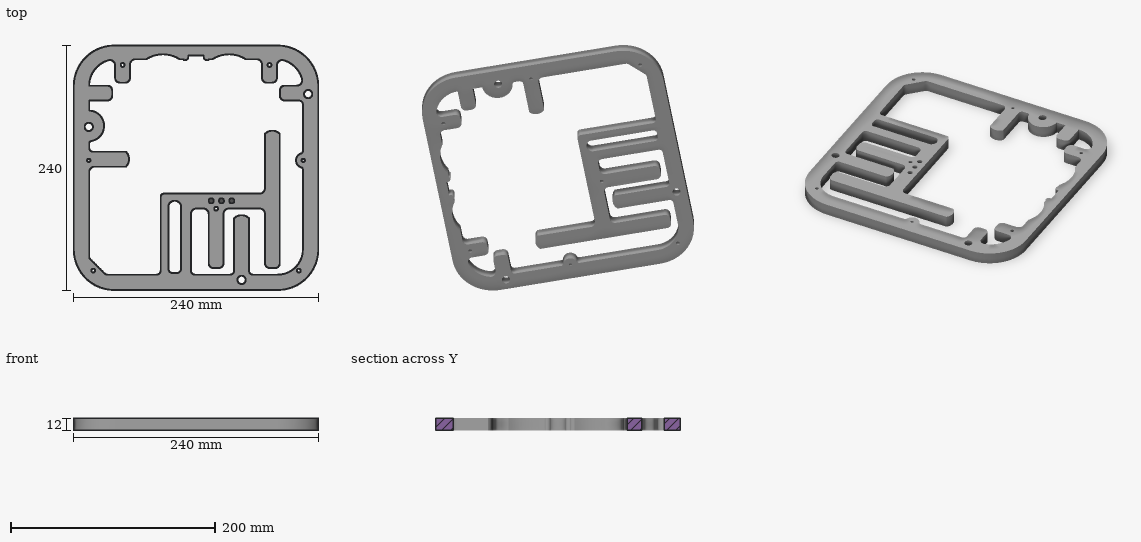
import cadquery as cq
import math

SIDE = 240.0
THICKNESS = 12.0
HALF = SIDE / 2
OUTER_RADIUS = 40.0

INNER_X = 104.6
INNER_TOP = 106.3
OPENING_TOP_RADIUS = 26.0
OPENING_BOTTOM_RADIUS = 24.5
CORNER_CUT = 16.0

BAR_WIDTH = 15.0
DOME_HEIGHT = 3.4
ROUND = 5.0
SMALL_ROUND = 3.5
OVERLAP = 7.2

TOP_TAB_X = 72.0
TOP_TAB_END = 83.3
SIDE_TAB_Y = 73.2
SIDE_TAB_END = 82.0
ARM_Y = 8.5
ARM_TIP = -65.5

COMB_LEFT = -34.8
COMB_TOP = -25.2
COMB_BOTTOM = COMB_TOP - BAR_WIDTH
SPINE_RIGHT = -4.8
FINGER_X = 19.7
RISER_X = 44.6
RISER_TIP = -46.3
POST_X = 75.0
POST_TOP = 36.5
FINGER_END = -98.5
SLOT_X = -21.0
SLOT_WIDTH = 12.0
SLOT_BOTTOM = -103.0
SLOT_TOP = -32.5
SLOT_DOME = 4.5

SCOOP_X = 32.5
SCOOP_HALF_WIDTH = 16.3
SCOOP_DEPTH = 4.8
NOTCH_HALF_WIDTH = 7.5
NOTCH_TOP = 110.0
LIP_WIDTH = 4.8
LIP_DROP = 1.0
LIP_ROUND = 3.4
LIP_HEEL_ROUND = 0.7

LUG_X = 105.0
LEFT_LUG_Y = 41.0
LEFT_LUG_RADIUS = 15.0
RIGHT_LUG_Y = 7.2
RIGHT_LUG_RADIUS = 7.2
LUG_BLEND = 2.2

SCREW_DIAMETER = 3.5
PIN_DIAMETER = 3.0
MOUNT_DIAMETER = 8.0
BLIND_DIAMETER = 5.0
BLIND_DEPTH = THICKNESS / 2
BLIND_PITCH = 10.0
BLIND_X = 25.0
BLIND_Y = -32.5
MOUNT_INSET = 10.0
LEFT_MOUNT_Y = 40.0
RIGHT_MOUNT_Y = 72.2
SCREW_CORNER = 100.8


def block(x_min, x_max, y_min, y_max):
    """Full-thickness rectangular block."""
    return (
        cq.Workplane("XY")
        .center((x_min + x_max) / 2, (y_min + y_max) / 2)
        .rect(x_max - x_min, y_max - y_min)
        .extrude(THICKNESS)
    )


def disc(x, y, radius):
    """Full-thickness round disc."""
    return cq.Workplane("XY").center(x, y).circle(radius).extrude(THICKNESS)


def domed_bar(root, tip, width, dome):
    """Bar along the line from root to tip, with an arched end at the tip."""
    length = math.dist(root, tip)
    heading = math.degrees(math.atan2(tip[1] - root[1], tip[0] - root[0]))
    return (
        cq.Workplane("XY")
        .moveTo(0, -width / 2)
        .lineTo(length - dome, -width / 2)
        .threePointArc((length, 0), (length - dome, width / 2))
        .lineTo(0, width / 2)
        .close()
        .extrude(THICKNESS)
        .rotate((0, 0, 0), (0, 0, 1), heading)
        .translate((root[0], root[1], 0))
    )


def round_edges(body, radius, points):
    """Round the upright edges that stand at the given plan points."""
    reach = 0.5
    for x, y in points:
        corner = cq.selectors.BoxSelector(
            (x - reach, y - reach, 0), (x + reach, y + reach, THICKNESS)
        )
        body = body.edges("|Z").edges(corner).fillet(radius)
    return body


def drill(body, diameter, points, depth=THICKNESS):
    """Drill holes from the top face."""
    cutter = (
        cq.Workplane("XY", origin=(0, 0, THICKNESS))
        .pushPoints(points)
        .circle(diameter / 2)
        .extrude(-depth)
    )
    return body.cut(cutter)


def make_frame():
    """Rounded square ring with one diagonal inner corner."""
    plate = block(-HALF, HALF, -HALF, HALF).edges("|Z").fillet(OUTER_RADIUS)
    opening = block(-INNER_X, INNER_X, -INNER_X, INNER_TOP)
    opening = opening.edges("|Z and >Y").fillet(OPENING_TOP_RADIUS)
    opening = round_edges(opening, OPENING_BOTTOM_RADIUS, [(INNER_X, -INNER_X)])
    opening = opening.edges("|Z and <X and <Y").chamfer(CORNER_CUT)
    opening = round_edges(
        opening,
        SMALL_ROUND,
        [(-INNER_X + CORNER_CUT, -INNER_X), (-INNER_X, -INNER_X + CORNER_CUT)],
    )
    return plate.cut(opening)


def shape_top_rim(body):
    """Two shallow scoops and a central notch with a rounded lip on each side."""
    lip_bottom = INNER_TOP - LIP_DROP
    lip_reach = NOTCH_HALF_WIDTH + LIP_WIDTH
    for side in (-1, 1):
        scoop = (
            cq.Workplane("XY")
            .moveTo(side * SCOOP_X - SCOOP_HALF_WIDTH, INNER_TOP)
            .threePointArc(
                (side * SCOOP_X, INNER_TOP + SCOOP_DEPTH),
                (side * SCOOP_X + SCOOP_HALF_WIDTH, INNER_TOP),
            )
            .close()
            .extrude(THICKNESS)
        )
        body = body.cut(scoop)
    lips = block(-lip_reach, lip_reach, lip_bottom, NOTCH_TOP)
    body = body.union(lips.edges("|Z and <Y").fillet(LIP_HEEL_ROUND))
    body = body.cut(block(-NOTCH_HALF_WIDTH, NOTCH_HALF_WIDTH, lip_bottom, NOTCH_TOP))
    notch_corners = [(side * NOTCH_HALF_WIDTH, lip_bottom) for side in (-1, 1)]
    return round_edges(body, LIP_ROUND, notch_corners)


def add_top_tabs(body):
    """Short tabs hanging from the top rim, one near each corner."""
    half = BAR_WIDTH / 2
    for side in (-1, 1):
        x = side * TOP_TAB_X
        tab = block(x - half, x + half, TOP_TAB_END, INNER_TOP + OVERLAP)
        body = body.union(tab.edges("|Z and <Y").fillet(ROUND))
        roots = [(x - half, INNER_TOP), (x + half, INNER_TOP)]
        body = round_edges(body, ROUND, roots)
    return body


def add_side_tabs(body):
    """Short tabs on the side rims; only the right one has rounded roots."""
    low = SIDE_TAB_Y - BAR_WIDTH / 2
    high = SIDE_TAB_Y + BAR_WIDTH / 2
    left = block(-INNER_X - OVERLAP, -SIDE_TAB_END, low, high).edges("|Z and >X").fillet(ROUND)
    right = block(SIDE_TAB_END, INNER_X + OVERLAP, low, high).edges("|Z and <X").fillet(ROUND)
    body = body.union(left).union(right)
    body = round_edges(body, SMALL_ROUND, [(INNER_X, low)])
    return round_edges(body, ROUND, [(INNER_X, high)])


def add_left_arm(body):
    """Long arm with an arched end on the left rim."""
    body = body.union(
        domed_bar((-INNER_X - OVERLAP, ARM_Y), (ARM_TIP, ARM_Y), BAR_WIDTH, DOME_HEIGHT)
    )
    body = round_edges(body, SMALL_ROUND, [(-INNER_X, ARM_Y + BAR_WIDTH / 2)])
    return round_edges(body, ROUND, [(-INNER_X, ARM_Y - BAR_WIDTH / 2)])


def add_lugs(body):
    """Large round lug on the left rim and a small one on the right rim."""
    inside_rim = block(-INNER_X - OVERLAP, INNER_X + OVERLAP, -INNER_X, INNER_TOP)
    left = disc(-LUG_X, LEFT_LUG_Y, LEFT_LUG_RADIUS)
    right = disc(LUG_X, RIGHT_LUG_Y, RIGHT_LUG_RADIUS)
    body = body.union(left.intersect(inside_rim)).union(right)
    roots = [
        (-INNER_X, LEFT_LUG_Y - LEFT_LUG_RADIUS),
        (INNER_X, RIGHT_LUG_Y - RIGHT_LUG_RADIUS),
        (INNER_X, RIGHT_LUG_Y + RIGHT_LUG_RADIUS),
    ]
    return round_edges(body, LUG_BLEND, roots)


def add_comb(body):
    """Slotted upright and cross bar with a finger, a tall post and a riser between them."""
    half = BAR_WIDTH / 2
    floor = -INNER_X
    spine = block(COMB_LEFT, SPINE_RIGHT, floor - OVERLAP, COMB_TOP)
    cross_bar = block(SPINE_RIGHT, POST_X, COMB_BOTTOM, COMB_TOP)
    finger = block(FINGER_X - half, FINGER_X + half, FINGER_END, COMB_TOP)
    finger = finger.edges("|Z and <Y").fillet(ROUND)
    post = domed_bar((POST_X, FINGER_END), (POST_X, POST_TOP), BAR_WIDTH, DOME_HEIGHT)
    post = post.edges("|Z and <Y").fillet(ROUND)
    riser = domed_bar((RISER_X, floor - OVERLAP), (RISER_X, RISER_TIP), BAR_WIDTH, DOME_HEIGHT)
    for piece in (spine, cross_bar, finger, post, riser):
        body = body.union(piece)

    inside_corners = [
        (SPINE_RIGHT, COMB_BOTTOM),
        (FINGER_X - half, COMB_BOTTOM),
        (FINGER_X + half, COMB_BOTTOM),
        (POST_X - half, COMB_BOTTOM),
        (POST_X - half, COMB_TOP),
    ]
    floor_corners = [
        (COMB_LEFT, floor),
        (SPINE_RIGHT, floor),
        (RISER_X - half, floor),
        (RISER_X + half, floor),
    ]
    body = round_edges(body, ROUND, inside_corners)
    body = round_edges(body, SMALL_ROUND, floor_corners + [(COMB_LEFT, COMB_TOP)])

    slot = domed_bar((SLOT_X, SLOT_BOTTOM), (SLOT_X, SLOT_TOP), SLOT_WIDTH, SLOT_DOME)
    return body.cut(slot.edges("|Z and <Y").fillet(SMALL_ROUND))


def drill_holes(body):
    """Through holes for screws, pins and mounts, and a row of three blind holes."""
    screws = [
        (-TOP_TAB_X, SCREW_CORNER),
        (TOP_TAB_X, SCREW_CORNER),
        (-SCREW_CORNER, -SCREW_CORNER),
        (SCREW_CORNER, -SCREW_CORNER),
        (FINGER_X, COMB_BOTTOM),
    ]
    pins = [(-LUG_X, RIGHT_LUG_Y), (LUG_X, RIGHT_LUG_Y)]
    mounts = [
        (-LUG_X, LEFT_MOUNT_Y),
        (HALF - MOUNT_INSET, RIGHT_MOUNT_Y),
        (RISER_X, MOUNT_INSET - HALF),
    ]
    blind_row = [(BLIND_X + step * BLIND_PITCH, BLIND_Y) for step in (-1, 0, 1)]
    body = drill(body, SCREW_DIAMETER, screws)
    body = drill(body, PIN_DIAMETER, pins)
    body = drill(body, MOUNT_DIAMETER, mounts)
    return drill(body, BLIND_DIAMETER, blind_row, BLIND_DEPTH)


result = make_frame()
result = shape_top_rim(result)
result = add_top_tabs(result)
result = add_side_tabs(result)
result = add_left_arm(result)
result = add_lugs(result)
result = add_comb(result)
result = drill_holes(result)